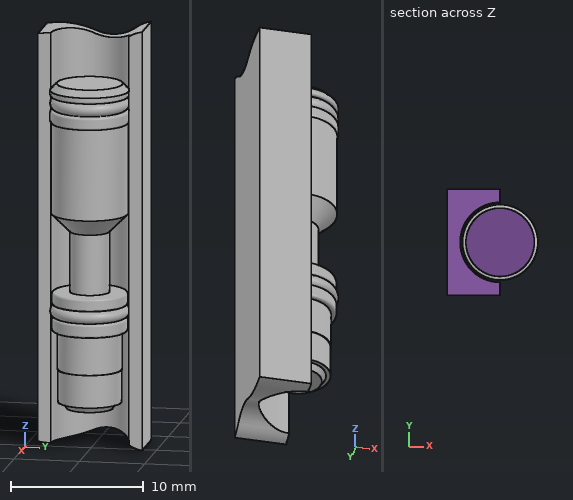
import cadquery as cq

LENGTH = 32.25
BORE_RADIUS = 6.0 / 2
HOUSING_DEPTH = 4.0
HOUSING_HALF_WIDTH = HOUSING_DEPTH

CREST_MID_Y, CREST_MID_DROP = 3.35, 0.2
CREST_END_Y, CREST_END_DROP = 2.8, 0.5
TROUGH_Y, TROUGH_DROP = 1.03, 1.1
TROUGH_END_Y, TROUGH_END_DROP = -0.3, 0.8
HUMP_Y, HUMP_DROP = -2.65, 0.32
FAR_EDGE_DROP = 0.42

PIN_TOP = 28.15
HEAD_CONE_END = 27.63
UPPER_SEAL_Z = 26.63
UPPER_LANDS_BOTTOM = 25.1
BODY_BOTTOM = 18.15
STEM_TOP = 16.75
LOWER_LANDS_TOP = 12.12
LOWER_SEAL_Z = 10.65
LOWER_LANDS_BOTTOM = 9.1
TAIL_STEP_Z = 6.15
TAIL_BOTTOM = 3.65
PIN_BOTTOM = 3.15

HEAD_FACE_RADIUS = 2.48
UPPER_LAND_RADIUS = BORE_RADIUS
BODY_RADIUS = 5.8 / 2
STEM_RADIUS = 3.0 / 2
LOWER_LAND_RADIUS = 5.7 / 2
TAIL_RADIUS = 4.9 / 2
TAIL_END_RADIUS = 4.8 / 2
TIP_TOP_RADIUS = 2.05
TIP_FACE_RADIUS = 1.75

UPPER_GROOVE_HALF_WIDTH = 0.5
LOWER_GROOVE_HALF_WIDTH = 0.48
GROOVE_RADIUS = 2.58
LAND_EDGE_ROUND = 0.2


def cylinder(radius, bottom, top):
    return cq.Workplane("XY").workplane(offset=bottom).circle(radius).extrude(top - bottom)


def cone(bottom_radius, bottom, top_radius, top):
    """Truncated cone on the Z axis."""
    outline = [(0, bottom), (bottom_radius, bottom), (top_radius, top), (0, top)]
    return cq.Workplane("XZ").polyline(outline).close().revolve(360, (0, 0, 0), (0, 1, 0))


def wave_points(end_z, inward):
    """Arc ends and midpoints of one wavy end, from +Y to -Y; inward is -1 at the top, 1 at the bottom."""
    shape = [
        (HOUSING_HALF_WIDTH, 0),
        (CREST_MID_Y, CREST_MID_DROP),
        (CREST_END_Y, CREST_END_DROP),
        (TROUGH_Y, TROUGH_DROP),
        (TROUGH_END_Y, TROUGH_END_DROP),
        (HUMP_Y, HUMP_DROP),
        (-HOUSING_HALF_WIDTH, FAR_EDGE_DROP),
    ]
    return [(y, end_z + inward * drop) for y, drop in shape]


def add_arcs(outline, points):
    """Continue an outline through consecutive three-point arcs."""
    for middle, end in zip(points[1::2], points[2::2]):
        outline = outline.threePointArc(middle, end)
    return outline


def make_housing():
    """Half block with wavy ends and a half-round bore open on its +X face."""
    top = wave_points(LENGTH, -1)
    bottom = wave_points(0, 1)[::-1]
    outline = cq.Workplane("YZ", origin=(-HOUSING_DEPTH, 0, 0)).moveTo(*top[0])
    outline = add_arcs(outline, top).lineTo(*bottom[0])
    block = add_arcs(outline, bottom).close().extrude(HOUSING_DEPTH)
    return block.cut(cylinder(BORE_RADIUS, 0, LENGTH)).solids()


def seal_ring(z, half_width):
    """Ring that fills its groove and bulges out to the bore wall."""
    ring = (
        cq.Workplane("XZ")
        .moveTo(0, z - half_width)
        .lineTo(GROOVE_RADIUS, z - half_width)
        .threePointArc((BORE_RADIUS, z), (GROOVE_RADIUS, z + half_width))
        .lineTo(0, z + half_width)
        .close()
    )
    return ring.revolve(360, (0, 0, 0), (0, 1, 0))


def land(radius, bottom, top, rounded_edges):
    """Collar beside a seal ring, with its chosen rims rounded."""
    return cylinder(radius, bottom, top).edges(rounded_edges).fillet(LAND_EDGE_ROUND)


def make_pin():
    """Turned pin with a sealed head, a thin stem, a sealed lower collar and a stepped tail."""
    upper_groove_top = UPPER_SEAL_Z + UPPER_GROOVE_HALF_WIDTH
    upper_groove_bottom = UPPER_SEAL_Z - UPPER_GROOVE_HALF_WIDTH
    lower_groove_top = LOWER_SEAL_Z + LOWER_GROOVE_HALF_WIDTH
    lower_groove_bottom = LOWER_SEAL_Z - LOWER_GROOVE_HALF_WIDTH
    sections = [
        cone(UPPER_LAND_RADIUS, HEAD_CONE_END, HEAD_FACE_RADIUS, PIN_TOP),
        land(UPPER_LAND_RADIUS, upper_groove_top, HEAD_CONE_END, "<Z"),
        seal_ring(UPPER_SEAL_Z, UPPER_GROOVE_HALF_WIDTH),
        land(UPPER_LAND_RADIUS, UPPER_LANDS_BOTTOM, upper_groove_bottom, "<Z or >Z"),
        cylinder(BODY_RADIUS, BODY_BOTTOM, UPPER_LANDS_BOTTOM + LAND_EDGE_ROUND),
        cone(STEM_RADIUS, STEM_TOP, BODY_RADIUS, BODY_BOTTOM),
        cylinder(STEM_RADIUS, LOWER_LANDS_TOP, STEM_TOP),
        land(LOWER_LAND_RADIUS, lower_groove_top, LOWER_LANDS_TOP, "<Z or >Z"),
        seal_ring(LOWER_SEAL_Z, LOWER_GROOVE_HALF_WIDTH),
        land(LOWER_LAND_RADIUS, LOWER_LANDS_BOTTOM, lower_groove_bottom, "<Z or >Z"),
        cylinder(TAIL_RADIUS, TAIL_STEP_Z, LOWER_LANDS_BOTTOM),
        cylinder(TAIL_END_RADIUS, TAIL_BOTTOM, TAIL_STEP_Z),
        cone(TIP_FACE_RADIUS, PIN_BOTTOM, TIP_TOP_RADIUS, TAIL_BOTTOM),
    ]
    pin = sections[0]
    for section in sections[1:]:
        pin = pin.union(section)
    return pin.solids()


housing = make_housing()
pin = make_pin()
result = cq.Compound.makeCompound([housing.val(), pin.val()])